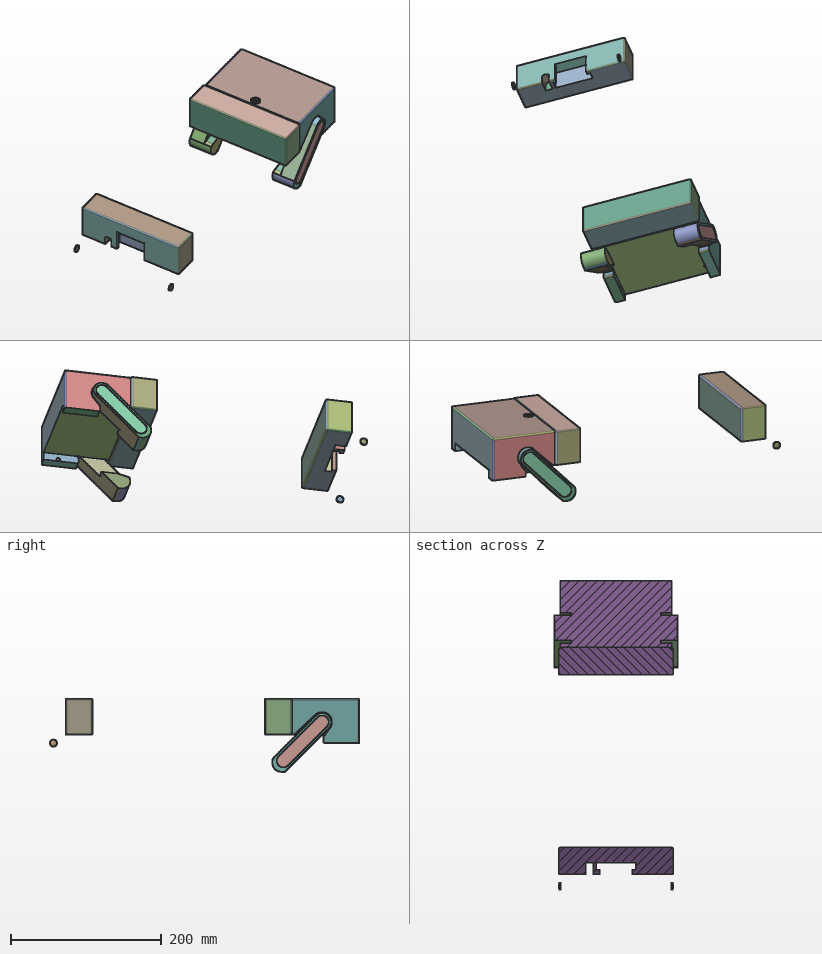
import cadquery as cq
import math


CAP_WIDTH = 152.0
CAP_DEPTH = 36.0
CAP_HEIGHT = 48.0
CAP_EDGE_RADIUS = 1.5
CAP_REAR_EDGE_RADIUS = 2.5

HOUSING_WIDTH = 148.0
HOUSING_DEPTH = 89.0
HOUSING_EDGE_RADIUS = 2.0
LEG_INNER_X = 60.0
LEG_DEPTH = 47.5
LEG_DROP = 11.0
LEG_CORNER_RADIUS = 2.0

LEVER_OUTER_X = 82.0
LEVER_RADIUS = 12.0
LEVER_ANGLE = 45.0
PIVOT_Y = -49.2
PIVOT_Z = 16.8
LEVER_TIP_RADIUS = 12.6
LEVER_BOTTOM_Z = -49.46

PANEL_RADIUS = 8.7
PANEL_SHORTENING = 3.2
PANEL_DEPTH = 0.5

POCKET_RADIUS = 13.2
UPPER_FLARE_ALONG = 38.0
UPPER_FLARE_ACROSS = 14.3
LOWER_FLARE_ALONG = 10.0
LOWER_FLARE_ACROSS = 14.6
POCKET_REACH = 60.0

HOOK_INNER_X = 48.5
HOOK_TOP_Z = -27.1
HOOK_BEND_Y = -108.5
HOOK_BEND_Z = -29.2
HOOK_PEAK_Y = -99.0

BUTTON_RADIUS = 2.5
BUTTON_HEIGHT = 2.5
BUTTON_Y = -20.0
BUTTON_Z = -8.6

SOCKET_Y = -80.9
SOCKET_RIM_DIAMETER = 13.2
SOCKET_FLOOR_DIAMETER = 11.2
SOCKET_HEX_DIAMETER = 8.38
SOCKET_HEX_DEPTH = 4.0

DETACHED_CAP_REAR_Y = -353.5
WINDOW_WIDTH = 43.4
WINDOW_HEIGHT = 30.0
WINDOW_WALL = 6.0
CAVITY_WIDTH = 52.0
CAVITY_DEPTH = 15.0
KEY_SLOT_X = -35.2
KEY_SLOT_WIDTH = 9.53
KEY_SLOT_HEIGHT = 15.0

DISC_DIAMETER = 9.53
DISC_FRONT_Y = -410.27
DISC_Z = -11.1
DISC_INNER_X = 73.2
DISC_PLATE_THICKNESS = 1.8
DISC_DOME_HEIGHT = 1.0

LEVER_TRAVEL_Z = PIVOT_Z - (LEVER_BOTTOM_Z + LEVER_TIP_RADIUS)
LEVER_LENGTH = LEVER_TRAVEL_Z / math.sin(math.radians(LEVER_ANGLE))
SIDES = (-1, 1)


def lever_point(along, across):
    """Y, Z of a point measured from the pivot, along the lever and across it (positive upwards)."""
    angle = math.radians(LEVER_ANGLE)
    y = PIVOT_Y - along * math.cos(angle) - across * math.sin(angle)
    z = PIVOT_Z - along * math.sin(angle) + across * math.cos(angle)
    return y, z


def side_block(x_start, x_end):
    """Workplane at x_start (outlines in Y, Z) and the signed extrusion length to x_end."""
    return cq.Workplane("YZ", origin=(x_start, 0, 0)), x_end - x_start


def lower_edge_point(z):
    """Point at height z on the straight lower edge of the lever."""
    edge_y, edge_z = lever_point(0, -LEVER_RADIUS)
    return edge_y - (edge_z - z) / math.tan(math.radians(LEVER_ANGLE)), z


def draw_lever_tip(outline):
    """Line to the upper edge's end, tip arc down to the bottom, then flat back to the lower edge."""
    tip_y, tip_z = lever_point(LEVER_LENGTH, 0)
    edge_end = LEVER_LENGTH + math.sqrt(LEVER_TIP_RADIUS**2 - LEVER_RADIUS**2)
    return (
        outline.lineTo(*lever_point(edge_end, LEVER_RADIUS))
        .threePointArc((tip_y - LEVER_TIP_RADIUS, tip_z), (tip_y, LEVER_BOTTOM_Z))
        .lineTo(*lower_edge_point(LEVER_BOTTOM_Z))
    )


def end_cap(rear_y):
    """Rounded box whose rear edges have a larger radius than the others."""
    return (
        cq.Workplane("XY", origin=(0, rear_y - CAP_DEPTH / 2, 0))
        .box(CAP_WIDTH, CAP_DEPTH, CAP_HEIGHT, centered=(True, True, False))
        .faces(">Y")
        .edges()
        .fillet(CAP_REAR_EDGE_RADIUS)
        .edges("|Y or <Y")
        .fillet(CAP_EDGE_RADIUS)
    )


def lever(side):
    """Lever arm: round at the pivot, with a flat-bottomed rounded end and a sunken outer panel."""
    plane, length = side_block(side * LEG_INNER_X, side * LEVER_OUTER_X)
    upper_outline = (
        plane.moveTo(*lever_point(0, -LEVER_RADIUS))
        .threePointArc(lever_point(-LEVER_RADIUS, 0), lever_point(0, LEVER_RADIUS))
    )
    arm = draw_lever_tip(upper_outline).close().extrude(length)
    panel_plane, panel_length = side_block(side * LEVER_OUTER_X, side * (LEVER_OUTER_X - PANEL_DEPTH))
    panel_end = LEVER_LENGTH - PANEL_SHORTENING
    panel = (
        panel_plane.moveTo(*lever_point(0, -PANEL_RADIUS))
        .threePointArc(lever_point(-PANEL_RADIUS, 0), lever_point(0, PANEL_RADIUS))
        .lineTo(*lever_point(panel_end, PANEL_RADIUS))
        .threePointArc(lever_point(panel_end + PANEL_RADIUS, 0), lever_point(panel_end, -PANEL_RADIUS))
        .close()
        .extrude(panel_length)
    )
    return arm.cut(panel)


def hook_foot(side):
    """Foot with the lever's end outline, cut off on top by two slopes and a flat."""
    plane, length = side_block(side * LEG_INNER_X, side * HOOK_INNER_X)
    top_outline = (
        plane.moveTo(*lower_edge_point(HOOK_TOP_Z))
        .lineTo(HOOK_PEAK_Y, HOOK_TOP_Z)
        .lineTo(HOOK_BEND_Y, HOOK_BEND_Z)
    )
    return draw_lever_tip(top_outline).close().extrude(length)


def lever_pocket(side):
    """Pocket in the housing side, round about the pivot and flaring out towards the front."""
    plane, length = side_block(side * LEG_INNER_X, side * LEVER_OUTER_X)
    return (
        plane.moveTo(*lever_point(0, -POCKET_RADIUS))
        .threePointArc(lever_point(-POCKET_RADIUS, 0), lever_point(0, POCKET_RADIUS))
        .lineTo(*lever_point(UPPER_FLARE_ALONG, UPPER_FLARE_ACROSS))
        .lineTo(*lever_point(POCKET_REACH, UPPER_FLARE_ACROSS))
        .lineTo(*lever_point(POCKET_REACH, -LOWER_FLARE_ACROSS))
        .lineTo(*lever_point(LOWER_FLARE_ALONG, -LOWER_FLARE_ACROSS))
        .close()
        .extrude(length)
    )


def leg_button(side):
    axis = cq.Vector(-side, 0, 0)
    base = cq.Vector(side * LEG_INNER_X, BUTTON_Y, BUTTON_Z)
    return cq.Workplane(obj=cq.Solid.makeCone(BUTTON_RADIUS, 0, BUTTON_HEIGHT, base, axis))


def top_socket():
    """Countersunk rim, then a hexagonal socket."""
    rim_depth = (SOCKET_RIM_DIAMETER - SOCKET_FLOOR_DIAMETER) / 2
    rim = cq.Solid.makeCone(
        SOCKET_RIM_DIAMETER / 2,
        SOCKET_FLOOR_DIAMETER / 2,
        rim_depth,
        cq.Vector(0, SOCKET_Y, CAP_HEIGHT),
        cq.Vector(0, 0, -1),
    )
    hexagon = (
        cq.Workplane("XY", origin=(0, SOCKET_Y, CAP_HEIGHT))
        .polygon(6, SOCKET_HEX_DIAMETER)
        .extrude(-SOCKET_HEX_DEPTH)
    )
    return hexagon.union(cq.Workplane(obj=rim))


def make_housing():
    """Block with a leg on each side; the levers are fixed to the floors of their pockets."""
    body = (
        cq.Workplane("YZ", origin=(-HOUSING_WIDTH / 2, 0, 0))
        .moveTo(0, CAP_HEIGHT)
        .lineTo(-HOUSING_DEPTH, CAP_HEIGHT)
        .lineTo(-HOUSING_DEPTH, 0)
        .lineTo(-LEG_DEPTH, 0)
        .lineTo(-LEG_DEPTH, LEG_CORNER_RADIUS - LEG_DROP)
        .radiusArc((LEG_CORNER_RADIUS - LEG_DEPTH, -LEG_DROP), -LEG_CORNER_RADIUS)
        .lineTo(0, -LEG_DROP)
        .close()
        .extrude(HOUSING_WIDTH)
    )
    body = body.edges("(|Y and >Z) or (|X and >Y and >Z) or (|Z and >Y)").fillet(HOUSING_EDGE_RADIUS)
    between_legs = cq.Workplane("XY").box(
        2 * LEG_INNER_X, 2 * HOUSING_DEPTH, LEG_DROP, centered=(True, True, False)
    ).translate((0, 0, -LEG_DROP))
    body = body.cut(between_legs).cut(top_socket())
    for side in SIDES:
        body = body.cut(lever_pocket(side))
        body = body.union(lever(side)).union(hook_foot(side)).union(leg_button(side))
    return body


def make_detached_cap():
    """Cap with a window opening into a wider cavity, and a round-topped key slot beside it."""
    front_y = DETACHED_CAP_REAR_Y - CAP_DEPTH
    window = cq.Workplane("XY", origin=(0, front_y, 0)).box(
        WINDOW_WIDTH, WINDOW_WALL, WINDOW_HEIGHT, centered=(True, False, False)
    )
    cavity = cq.Workplane("XY", origin=(0, front_y + WINDOW_WALL, 0)).box(
        CAVITY_WIDTH, CAVITY_DEPTH - WINDOW_WALL, WINDOW_HEIGHT, centered=(True, False, False)
    )
    slot_radius = KEY_SLOT_WIDTH / 2
    arc_z = KEY_SLOT_HEIGHT - slot_radius
    key_slot = (
        cq.Workplane("XZ", origin=(KEY_SLOT_X, front_y, 0))
        .moveTo(-slot_radius, 0)
        .lineTo(-slot_radius, arc_z)
        .threePointArc((0, KEY_SLOT_HEIGHT), (slot_radius, arc_z))
        .lineTo(slot_radius, 0)
        .close()
        .extrude(-CAVITY_DEPTH)
    )
    return end_cap(DETACHED_CAP_REAR_Y).cut(window).cut(cavity).cut(key_slot)


def make_disc(side):
    """Flat round plate with a domed outer face, revolved about its X axis."""
    radius = DISC_DIAMETER / 2
    rim = DISC_PLATE_THICKNESS
    crown = rim + DISC_DOME_HEIGHT
    sphere_radius = (radius**2 + DISC_DOME_HEIGHT**2) / (2 * DISC_DOME_HEIGHT)
    mid_height = radius / 2
    mid_x = crown - sphere_radius + math.sqrt(sphere_radius**2 - mid_height**2)
    disc = (
        cq.Workplane("XY")
        .lineTo(0, radius)
        .lineTo(side * rim, radius)
        .threePointArc((side * mid_x, mid_height), (side * crown, 0))
        .close()
        .revolve(360, (0, 0, 0), (1, 0, 0))
    )
    return disc.translate((side * DISC_INNER_X, DISC_FRONT_Y + radius, DISC_Z))


housing = make_housing()
fitted_cap = end_cap(-HOUSING_DEPTH)
detached_cap = make_detached_cap()
discs = [make_disc(side) for side in SIDES]

result = cq.Compound.makeCompound(
    [housing.val(), fitted_cap.val(), detached_cap.val(), *[disc.val() for disc in discs]]
)